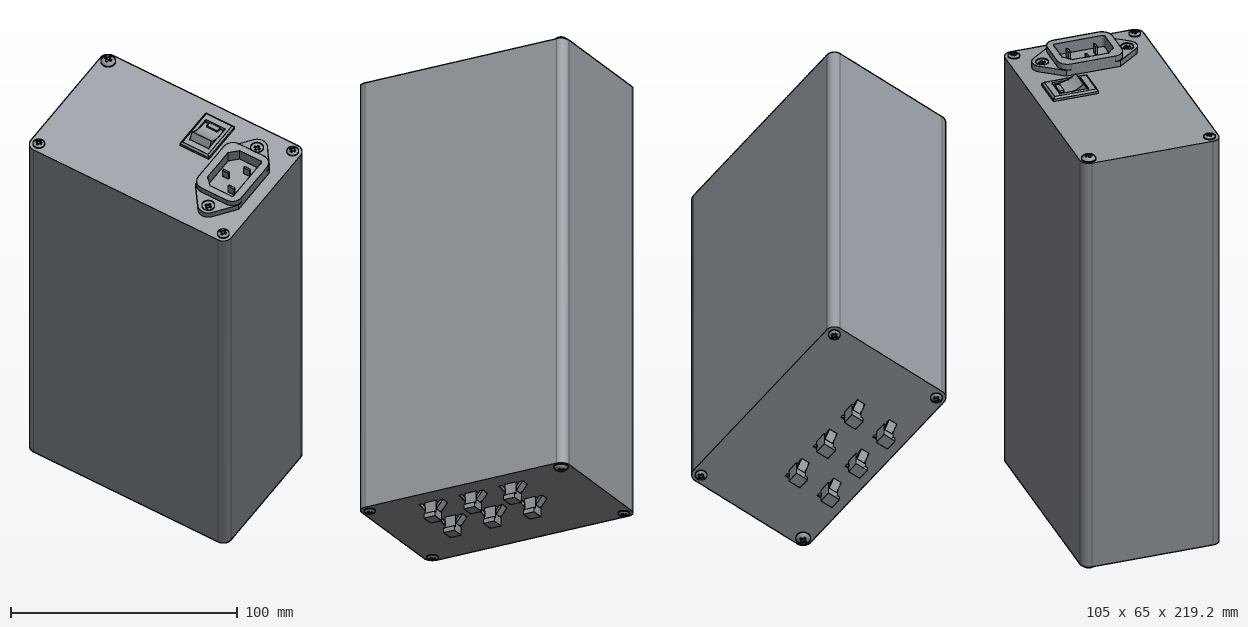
import cadquery as cq
import math

overall_height = 219.2
body_x = 105.0
body_y = 65.0
corner_radius = 4.2
inlet_height = 5.7
terminal_drop = 8.0
body_height = overall_height - inlet_height - terminal_drop
bottom_z = -body_height

screw_radius = 2.6
screw_height = 1.5
screw_rim = 0.5
large_screw_radius = 3.3
large_screw_height = 2.2
recess_length_ratio = 1.0
recess_width = 0.9
recess_depth = 0.7

inlet_x = 35.0
inlet_width = 22.5
inlet_length = 30.5
inlet_corner_radius = 4.8
flange_thickness = 2.8
flange_straight = 25.5
flange_screw_y = 20.0
flange_screw_radius = 2.8
flange_tip_radius = 4.5
flange_screw_recess = 0.5
socket_width = 15.5
socket_length = 24.1
socket_chamfer = 3.7
socket_fillet = 0.7
contact_width = 3.0
contact_thickness = 0.9
contact_height = 4.0
contact_offset_x = 3.5
contact_pitch_y = 6.4

switch_x = 12.0
switch_y = 15.1
frame_width = 15.1
frame_length = 21.3
frame_height = 2.0
frame_bevel = 0.9
rocker_width = 10.0
opening_length = 13.5
rocker_gap = 0.7
rocker_peak_y = -4.4
rocker_peak_z = 4.5
rocker_valley_z = 2.0
rocker_end_z = 1.0
mark_width = 5.7
mark_length = 2.2
mark_top_z = 2.0

terminal_pitch_x = 20.2
terminal_rows_y = (3.5, 21.3)
terminal_width = 5.5
terminal_depth = 5.0
leg_depth = 4.2
leg_reach = 3.3
leg_drop = 4.0
leg_inner_reach = 1.8
leg_inner_drop = 2.0
lug_length = 1.0
lug_height = 2.2


def block(width, length, height, x=0.0, y=0.0, z=0.0):
    """Box centred on (x, y) that rises from z."""
    return cq.Workplane("XY").box(width, length, height, centered=(True, True, False)).translate((x, y, z))


def make_body():
    return block(body_x, body_y, body_height, z=bottom_z).edges("|Z").fillet(corner_radius)


def cross_recess(head_radius, top_z):
    """Cross-shaped cutter reaching recess_depth below top_z."""
    recess_length = head_radius * recess_length_ratio
    first_arm = block(recess_length, recess_width, recess_depth, z=top_z - recess_depth)
    return first_arm.union(block(recess_width, recess_length, recess_depth, z=top_z - recess_depth))


def make_screw(radius, height):
    """Domed screw head standing on z = 0."""
    dome_rise = height - screw_rim
    dome_radius = (radius**2 + dome_rise**2) / (2 * dome_rise)
    mid_x = radius / 2
    mid_z = height - dome_radius + math.sqrt(dome_radius**2 - mid_x**2)
    head = (
        cq.Workplane("XZ")
        .lineTo(radius, 0)
        .lineTo(radius, screw_rim)
        .threePointArc((mid_x, mid_z), (0, height))
        .close()
        .revolve(360, (0, 0), (0, 1))
    )
    return head.cut(cross_recess(radius, height))


def add_panel_screws(part):
    """Screws at the corners of both end panels; the -X, +Y corner has larger ones."""
    screw_x = body_x / 2 - corner_radius
    screw_y = body_y / 2 - corner_radius
    for side_x in (-1, 1):
        for side_y in (-1, 1):
            if side_x < 0 < side_y:
                screw = make_screw(large_screw_radius, large_screw_height)
            else:
                screw = make_screw(screw_radius, screw_height)
            place = (side_x * screw_x, side_y * screw_y, 0)
            part = part.union(screw.translate(place))
            bottom_screw = screw.mirror("XY").translate((0, 0, bottom_z))
            part = part.union(bottom_screw.translate(place))
    return part


def make_flange():
    """Plate with parallel sides whose ends taper tangentially to round tips."""
    half_width = inlet_width / 2
    half_straight = flange_straight / 2
    rise = flange_screw_y - half_straight
    to_shoulder = math.atan2(-rise, half_width)
    facing = to_shoulder + math.acos(flange_tip_radius / math.hypot(half_width, rise))
    tangent_x = flange_tip_radius * math.cos(facing)
    tangent_y = flange_screw_y + flange_tip_radius * math.sin(facing)
    tip_y = flange_screw_y + flange_tip_radius
    return (
        cq.Workplane("XY")
        .moveTo(half_width, -half_straight)
        .lineTo(half_width, half_straight)
        .lineTo(tangent_x, tangent_y)
        .threePointArc((0, tip_y), (-tangent_x, tangent_y))
        .lineTo(-half_width, half_straight)
        .lineTo(-half_width, -half_straight)
        .lineTo(-tangent_x, -tangent_y)
        .threePointArc((0, -tip_y), (tangent_x, -tangent_y))
        .close()
        .extrude(flange_thickness)
    )


def make_inlet():
    inlet = block(inlet_width, inlet_length, inlet_height).edges("|Z").fillet(inlet_corner_radius)
    inlet = inlet.union(make_flange())
    socket = block(socket_width, socket_length, inlet_height)
    socket = socket.edges("|Z and <X").chamfer(socket_chamfer)
    inlet = inlet.cut(socket.edges("|Z and >X").fillet(socket_fillet))
    for x, y in ((-1, 0), (1, -1), (1, 1)):
        contact_x = x * contact_offset_x
        contact_y = y * contact_pitch_y
        inlet = inlet.union(block(contact_width, contact_thickness, contact_height, contact_x, contact_y))
    sunk_z = flange_thickness - flange_screw_recess
    sunk_head = (
        cq.Workplane("XY")
        .workplane(offset=sunk_z)
        .circle(flange_screw_radius)
        .extrude(flange_screw_recess)
    )
    sunk_head = sunk_head.union(cross_recess(flange_screw_radius, sunk_z))
    for side_y in (-1, 1):
        inlet = inlet.cut(sunk_head.translate((0, side_y * flange_screw_y, 0)))
    return inlet.translate((inlet_x, 0, 0))


def make_switch():
    frame = block(frame_width, frame_length, frame_height).faces(">Z").chamfer(frame_bevel)
    frame = frame.cut(block(rocker_width, opening_length, frame_height))
    front_y = -opening_length / 2
    back_y = opening_length / 2 - rocker_gap
    rocker = (
        cq.Workplane("YZ")
        .moveTo(front_y, 0)
        .lineTo(front_y, rocker_end_z)
        .lineTo(rocker_peak_y, rocker_peak_z)
        .threePointArc((0, rocker_valley_z), (back_y, rocker_end_z))
        .lineTo(back_y, 0)
        .close()
        .extrude(rocker_width / 2, both=True)
    )
    mark = block(mark_width, mark_length, mark_top_z, y=back_y - mark_length / 2)
    return frame.union(rocker).union(mark).translate((switch_x, switch_y, 0))


def make_terminal():
    """Terminal hanging below z = 0."""
    half_width = terminal_width / 2
    terminal = block(terminal_width, terminal_depth, terminal_drop, z=-terminal_drop)
    lug_y = (terminal_depth + lug_length) / 2
    terminal = terminal.union(block(terminal_width, lug_length, lug_height, y=lug_y, z=-terminal_drop))
    leg = (
        cq.Workplane("XZ")
        .polyline([
            (half_width, -leg_drop),
            (half_width + leg_reach, 0),
            (half_width + leg_inner_reach, 0),
            (half_width, -leg_inner_drop),
        ])
        .close()
        .extrude(leg_depth / 2, both=True)
    )
    return terminal.union(leg).union(leg.mirror("YZ"))


def add_terminals(part):
    terminal = make_terminal()
    for column in (-1, 0, 1):
        for row_y in terminal_rows_y:
            part = part.union(terminal.translate((column * terminal_pitch_x, row_y, bottom_z)))
    return part


result = make_body()
result = add_panel_screws(result)
result = result.union(make_inlet())
result = result.union(make_switch())
result = add_terminals(result)